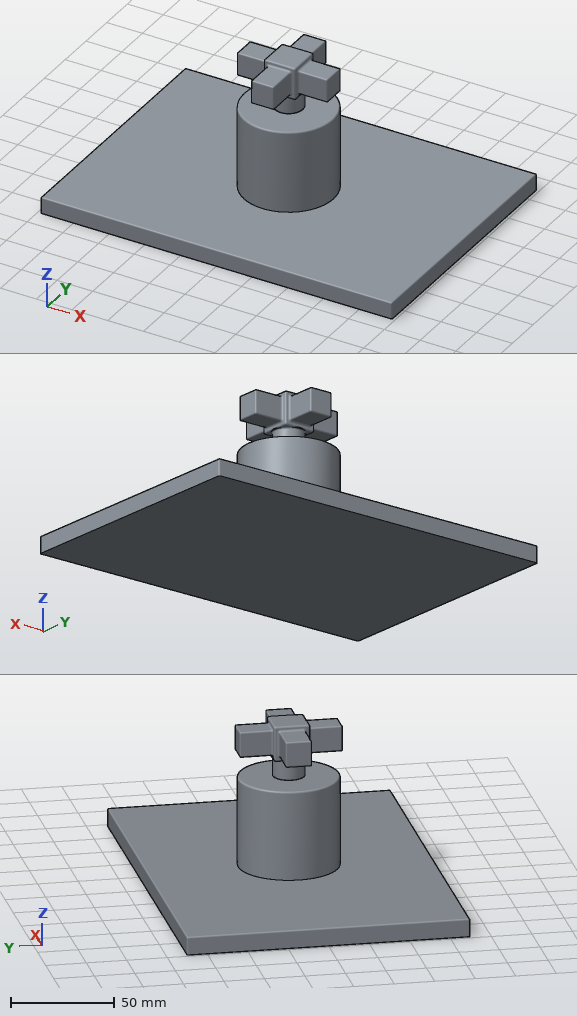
import cadquery as cq
import math

plate_length = 196.8
plate_width = 139.8
total_height = 82.3

plate_thickness = 9.0
plate_edge_radius = 0.8

body_diameter = 50.0
body_top = 54.1
body_rim_radius = 1.0

stem_diameter = 16.0
stem_foot_radius = 0.8
stem_neck_radius = 0.8

hub_size = 17.7
hub_edge_radius = 1.0
arm_span = 50.8
arm_size = 12.8
arm_edge_radius = 0.8
arm_root_radius = 1.2

hub_center_z = total_height - hub_size / 2
hub_bottom = hub_center_z - hub_size / 2


def make_plate():
    """Rectangular plate with rounded edges everywhere but on its flat back."""
    plate = cq.Workplane("XY").box(
        plate_length, plate_width, plate_thickness, centered=(True, True, False)
    )
    return plate.edges("|Z or >Z").fillet(plate_edge_radius)


def make_body():
    """Cylinder with a rounded top rim."""
    body = cq.Workplane("XY").circle(body_diameter / 2).extrude(body_top)
    return body.faces(">Z").edges().fillet(body_rim_radius)


def make_stem():
    """Round stem, rounded off at its foot and flared by a concave blend under the hub."""
    radius = stem_diameter / 2
    overlap = hub_bottom + hub_edge_radius
    foot = stem_foot_radius
    neck = stem_neck_radius
    foot_mid = foot * (1 - math.sqrt(0.5))
    neck_mid = neck * (1 - math.sqrt(0.5))
    profile = (
        cq.Workplane("XZ")
        .moveTo(0, body_top)
        .lineTo(radius - foot, body_top)
        .threePointArc((radius - foot_mid, body_top + foot_mid), (radius, body_top + foot))
        .lineTo(radius, hub_bottom - neck)
        .threePointArc((radius + neck_mid, hub_bottom - neck_mid), (radius + neck, hub_bottom))
        .lineTo(radius + neck, overlap)
        .lineTo(0, overlap)
        .close()
    )
    return profile.revolve(360, (0, 0, 0), (0, 1, 0))


def round_arm_root(handle, axis, side):
    """Blend one arm into the hub face it leaves, on the given side of the given axis."""
    half_root = hub_size / 2 - hub_edge_radius
    depth = arm_edge_radius / 2
    face = side * hub_size / 2
    low = [-half_root, -half_root, hub_center_z - half_root]
    high = [half_root, half_root, hub_center_z + half_root]
    low[axis] = face - depth
    high[axis] = face + depth
    root_edges = cq.selectors.BoxSelector(low, high, boundingbox=True)
    return handle.edges(root_edges).fillet(arm_root_radius)


def make_handle():
    """Rounded hub crossed by two square bars, blended where they meet it."""
    center = cq.Workplane("XY").workplane(offset=hub_center_z)
    hub = center.box(hub_size, hub_size, hub_size).edges().fillet(hub_edge_radius)
    bar_x = center.box(arm_span, arm_size, arm_size).edges().fillet(arm_edge_radius)
    bar_y = bar_x.rotate((0, 0, 0), (0, 0, 1), 90)
    handle = hub.union(bar_x).union(bar_y)
    for axis in (0, 1):
        for side in (-1, 1):
            handle = round_arm_root(handle, axis, side)
    return handle


result = make_plate().union(make_body()).union(make_stem()).union(make_handle())